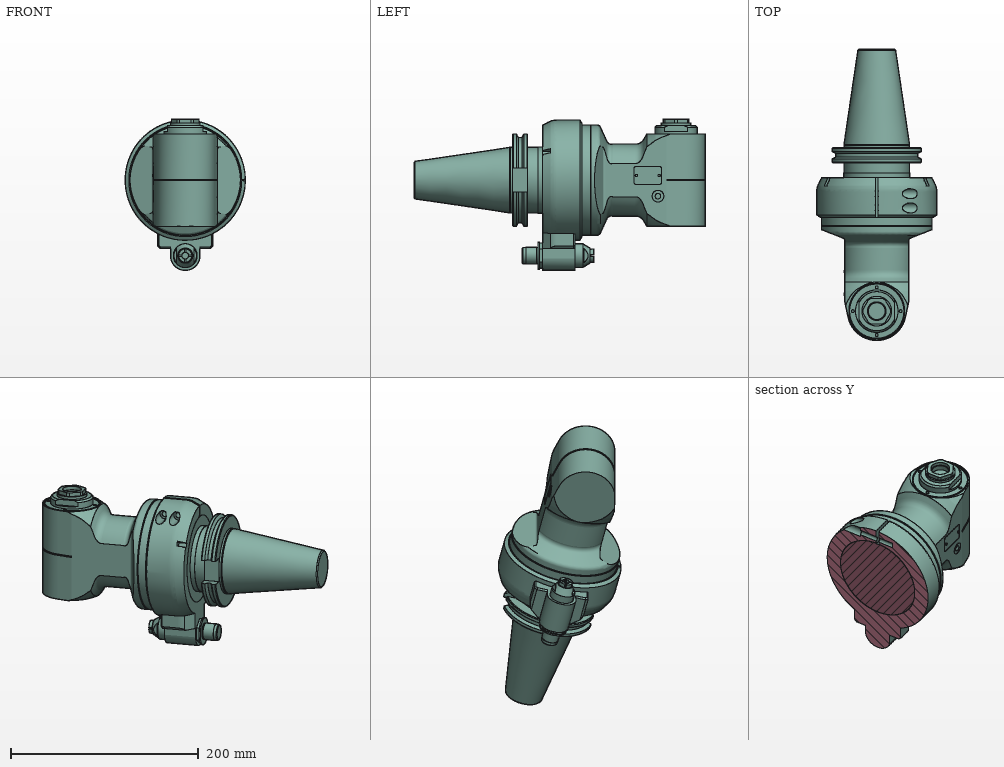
import cadquery as cq
import math


overcut = 3.0

taper_length = 101.7
taper_slope = 7 / 48
taper_large_r = 35.0
taper_end_y = 278.8
taper_end_chamfer = 1.2
relief_r = 34.0
relief_front_y = 176.0
flange_r = 49.3
flange_back_y = 174.0
flange_front_y = 157.8
flange_chamfer = 1.0
gripper_land = 4.0
gripper_floor_r = 45.5
gripper_side = 2.2
neck_r = 35.0
arbor_front_y = 147.0
keyway_width = 25.7
keyway_floor_x = 35.5

ring_back_y = 142.0
ring_front_y = 100.0
ring_r = 128.0 / 2
ring_bore_r = 46.5
ring_back_r = 58.5
ring_cone_r = 63.0
ring_cone_y = 133.3
ring_round_y = 126.8
ring_front_chamfer_y = 102.3
ring_front_r = 60.2
slit_width = 3.0
bolt_z = 52.7
bolt_ys = (125.0, 109.8)
bolt_head_d = 10.5
bolt_seat_x = 21.7
bolt_shank_d = 6.0
bolt_tip_x = -18.5
notch_angles = (30, 150)
notch_width = 5.0
notch_floor_r = 56.5
mark_width = 2.8
mark_depth = 3.7

lug_half_width = 29.5
lug_bottom_z = -73.0
lug_front_y = 107.3
lug_corner = 2.8
lug_edge_chamfer = 1.5
lug_shoulder_x = 27.5
lug_back_half_width = 17.5
boss_half_width = 15.5
boss_r = 15.8
pin_z = -80.3
pin_tail_y = 163.7
pin_tail_r = 8.7
pin_tail_chamfer = 1.0
sleeve_back_y = 159.7
sleeve_front_y = 148.2
sleeve_r = 9.0
collar_back_y = 147.0
collar_r = 14.5
collar_thickness = 1.5
collar_hex_circle_d = 27.3
nose_r = 12.7
nose_cone_y = 99.2
nose_cone_small_r = 8.0
tip_back_y = 91.5
tip_front_y = 87.5
tip_r = 7.0
tip_hole_d = 7.0
tip_hole_depth = 3.0
tip_slot_width = 1.5
tip_slot_depth = 2.8
nose_flat_x = 9.3
nose_flat_back_y = 98.0

collar_hub_r = 35.5
drum_r = 59.0
drum_groove_y = 90.2
drum_groove_width = 1.0
drum_groove_depth = 0.5
drum_round_y = 84.7
cone_back_y = 80.5
cone_back_r = 56.7
cone_front_y = 73.5
cone_front_r = 41.2
body_neck_r = 38.5
neck_back_y = 67.5
neck_front_y = 42.8
shoulder_y = 31.0
head_half_height = 49.3
flare_y = 34.7
flare_r = 43.0
head_facets = [(51.8, 26.5), (54.5, 21.5), (56.7, 15.8), (58.3, 10.5), (59.5, 5.3)]
head_blend_r = 60.5
head_half_width = 34.0
head_r = 31.3
side_taper_deg = 12.0
relief_outer_x = 59.2
relief_outer_y = 86.8
relief_inner_y = 77.0
relief_fillet = 2.8
split_groove_width = 1.2
split_groove_depth = 0.5
cap_groove_outer_r = 29.8
cap_groove_inner_r = 28.8
cap_groove_depth = 0.5
cap_hole_d = 3.0
cap_hole_circle_r = 25.5
cap_hole_depth = 3.0
cap_hole_count = 4

plate_y = 30.0
plate_z = 5.0
plate_length = 29.0
plate_height = 19.0
plate_corner = 2.0
plate_depth = 0.3
rivet_d = 2.5
rivet_spacing = 24.2
rivet_rise = 1.0
plug_y = 19.2
plug_z = -17.0
plug_d = 12.5
plug_depth = 0.3
plug_socket_d = 6.0
plug_socket_depth = 3.0

spindle_collar_r = 22.5
spindle_collar_top_z = 58.0
spindle_collar_chamfer = 2.0
wrench_flat_x = 19.0
wrench_flat_bottom_z = 51.8
washer_r = 15.8
washer_top_z = 60.8
nut_across_flats = 27.3
nut_corner_r = 15.0
spindle_top_z = 64.8
mouth_d = 20.0
mouth_depth = 3.7
bore_d = 18.0
bore_depth = 9.3


def turned(profile):
    """Revolve a closed (radius, y) profile about the Y axis."""
    return profile.close().revolve(360, (0, 0, 0), (0, 1, 0))


def box_between(x0, x1, y0, y1, z0, z1):
    """Axis-aligned box from its two limits on each axis."""
    return cq.Workplane("XY").box(x1 - x0, y1 - y0, z1 - z0, centered=False).translate((x0, y0, z0))


def rod_y(radius, y0, y1, z=0.0):
    """Cylinder along Y from y0 to y1 at height z."""
    return cq.Workplane("XZ", origin=(0, y1, z)).circle(radius).extrude(y1 - y0)


def make_arbor():
    taper_base_y = taper_end_y - taper_length
    small_r = taper_large_r - taper_length * taper_slope
    groove_back_y = flange_back_y - gripper_land
    groove_front_y = flange_front_y + gripper_land
    arbor = turned(
        cq.Workplane("XY").polyline([
            (0, arbor_front_y),
            (neck_r, arbor_front_y),
            (neck_r, flange_front_y),
            (flange_r - flange_chamfer, flange_front_y),
            (flange_r, flange_front_y + flange_chamfer),
            (flange_r, groove_front_y),
            (gripper_floor_r, groove_front_y + gripper_side),
            (gripper_floor_r, groove_back_y - gripper_side),
            (flange_r, groove_back_y),
            (flange_r, flange_back_y - flange_chamfer),
            (flange_r - flange_chamfer, flange_back_y),
            (taper_large_r, flange_back_y),
            (taper_large_r, relief_front_y),
            (relief_r, relief_front_y),
            (relief_r, taper_base_y),
            (taper_large_r, taper_base_y),
            (small_r, taper_end_y - taper_end_chamfer),
            (small_r - taper_end_chamfer, taper_end_y),
            (0, taper_end_y),
        ])
    )
    half_key = keyway_width / 2
    keyway = box_between(keyway_floor_x, flange_r + overcut, flange_front_y, flange_back_y, -half_key, half_key)
    return arbor.cut(keyway).cut(keyway.mirror("YZ"))


def make_ring_band():
    """Split clamping band before the lug is added."""
    band = turned(
        cq.Workplane("XY")
        .moveTo(0, ring_front_y)
        .lineTo(ring_front_r, ring_front_y)
        .lineTo(ring_r, ring_front_chamfer_y)
        .lineTo(ring_r, ring_round_y)
        .tangentArcPoint((ring_cone_r, ring_cone_y), relative=False)
        .lineTo(ring_back_r, ring_back_y)
        .lineTo(0, ring_back_y)
    )
    half_notch = notch_width / 2
    notch = box_between(notch_floor_r, ring_r + overcut, ring_cone_y, ring_back_y, -half_notch, half_notch)
    for angle in notch_angles:
        band = band.cut(notch.rotate((0, 0, 0), (0, 1, 0), -angle))

    mark = (
        cq.Workplane("XZ", origin=(0, ring_front_chamfer_y, 0))
        .polyline([(ring_r, mark_width / 2), (ring_r - mark_depth, 0), (ring_r, -mark_width / 2)])
        .close()
        .extrude(ring_front_chamfer_y - ring_front_y)
    )
    return band.cut(mark)


def lug_plan():
    """Outline of the lug seen along Z, with rounded and slanted rear corners."""
    half = (
        cq.Workplane("XY", origin=(0, 0, lug_bottom_z))
        .moveTo(0, lug_front_y)
        .lineTo(lug_half_width, lug_front_y)
        .lineTo(lug_half_width, ring_round_y)
        .tangentArcPoint((lug_shoulder_x, ring_cone_y), relative=False)
        .lineTo(lug_back_half_width, ring_back_y)
        .lineTo(0, ring_back_y)
        .close()
        .extrude(-lug_bottom_z)
    )
    return half.union(half.mirror("YZ"))


def make_lug():
    lug = (
        box_between(-lug_half_width, lug_half_width, lug_front_y, ring_back_y, lug_bottom_z, 0)
        .edges("|Y and <Z")
        .chamfer(lug_corner)
        .faces("<Y")
        .edges("not >Z")
        .chamfer(lug_edge_chamfer)
        .intersect(lug_plan())
    )
    cheeks = box_between(
        -boss_half_width, boss_half_width, lug_front_y, ring_back_y, pin_z - boss_r, 0
    )
    barrel = rod_y(boss_r, lug_front_y, ring_back_y, pin_z)
    web = box_between(-boss_r, boss_r, lug_front_y, ring_back_y, pin_z, 0)
    return lug.union(barrel.union(web).intersect(cheeks))


def make_locating_pin():
    tail = rod_y(pin_tail_r, collar_back_y, pin_tail_y, pin_z).faces(">Y").chamfer(pin_tail_chamfer)
    sleeve = rod_y(sleeve_r, sleeve_front_y, sleeve_back_y, pin_z)
    collar = rod_y(collar_r, collar_back_y - collar_thickness, collar_back_y, pin_z)
    collar_hex = (
        cq.Workplane("XZ", origin=(0, collar_back_y, pin_z))
        .polygon(6, collar_hex_circle_d)
        .extrude(collar_back_y - ring_back_y)
        .rotate((0, 0, pin_z), (0, 1, pin_z), 90)
    )
    nose = turned(
        cq.Workplane("XY").polyline([
            (0, lug_front_y),
            (nose_r, lug_front_y),
            (nose_r, nose_cone_y),
            (nose_cone_small_r, tip_back_y),
            (tip_r, tip_back_y),
            (tip_r, tip_front_y),
            (0, tip_front_y),
        ])
    )
    flat = box_between(nose_flat_x, nose_r + overcut, tip_back_y, nose_flat_back_y, -nose_r, nose_r)
    nose = nose.cut(flat).cut(flat.mirror("YZ"))
    nose = nose.cut(rod_y(tip_hole_d / 2, tip_front_y, tip_front_y + tip_hole_depth))
    half_slot = tip_slot_width / 2
    slot_back_y = tip_front_y + tip_slot_depth
    slot = box_between(-tip_r, tip_r, tip_front_y, slot_back_y, -half_slot, half_slot)
    for angle in (0, 90):
        nose = nose.cut(slot.rotate((0, 0, 0), (0, 1, 0), angle))
    return tail.union(sleeve).union(collar).union(collar_hex).union(nose.translate((0, 0, pin_z)))


def make_clamp_ring():
    ring = make_ring_band().union(make_lug()).union(make_locating_pin())
    ring = ring.cut(rod_y(ring_bore_r, ring_front_y, ring_back_y))
    half_slit = slit_width / 2
    ring = ring.cut(box_between(-half_slit, half_slit, ring_front_y, ring_back_y, 0, ring_r + overcut))
    for y in bolt_ys:
        bolt_plane = cq.Workplane("YZ", origin=(bolt_tip_x, y, bolt_z))
        shank_hole = bolt_plane.circle(bolt_shank_d / 2).extrude(ring_r - bolt_tip_x)
        head_plane = cq.Workplane("YZ", origin=(bolt_seat_x, y, bolt_z))
        head_hole = head_plane.circle(bolt_head_d / 2).extrude(ring_r - bolt_seat_x)
        ring = ring.cut(shank_hole).cut(head_hole)
    return ring


def make_housing_blank():
    """Turned body: hub, drum, cone, neck and the flare into the head."""
    groove_floor_r = drum_r - drum_groove_depth
    return turned(
        cq.Workplane("XY")
        .moveTo(0, arbor_front_y)
        .lineTo(collar_hub_r, arbor_front_y)
        .lineTo(collar_hub_r, ring_back_y)
        .lineTo(ring_bore_r, ring_back_y)
        .lineTo(ring_bore_r, ring_front_y)
        .lineTo(drum_r, ring_front_y)
        .lineTo(drum_r, drum_groove_y + drum_groove_width)
        .lineTo(groove_floor_r, drum_groove_y + drum_groove_width)
        .lineTo(groove_floor_r, drum_groove_y)
        .lineTo(drum_r, drum_groove_y)
        .lineTo(drum_r, drum_round_y)
        .tangentArcPoint((cone_back_r, cone_back_y), relative=False)
        .lineTo(cone_front_r, cone_front_y)
        .tangentArcPoint((body_neck_r, neck_back_y), relative=False)
        .lineTo(body_neck_r, neck_front_y)
        .tangentArcPoint((flare_r, flare_y), relative=False)
        .polyline([(head_half_height, shoulder_y), *head_facets, (head_blend_r, 0)], includeCurrent=True)
        .lineTo(head_blend_r, -head_r)
        .lineTo(0, -head_r)
    )


def plan_outline():
    """Outline seen along Z, from the drum down both flats to the rounded head."""
    taper = math.radians(side_taper_deg)
    round_x = head_r * math.cos(taper)
    round_y = -head_r * math.sin(taper)
    taper_start_y = round_y + (head_half_width - round_x) / math.tan(taper)
    outline = (
        cq.Workplane("XY")
        .moveTo(-relief_outer_x, arbor_front_y)
        .lineTo(-relief_outer_x, relief_outer_y)
        .lineTo(-head_half_width, relief_inner_y)
        .lineTo(-head_half_width, taper_start_y)
        .lineTo(-round_x, round_y)
        .threePointArc((0, -head_r), (round_x, round_y))
        .lineTo(head_half_width, taper_start_y)
        .lineTo(head_half_width, relief_inner_y)
        .lineTo(relief_outer_x, relief_outer_y)
        .lineTo(relief_outer_x, arbor_front_y)
        .close()
        .extrude(drum_r, both=True)
    )
    inner_corners = cq.selectors.BoxSelector(
        (-relief_outer_x, neck_back_y, -drum_r), (relief_outer_x, cone_back_y, drum_r)
    )
    outline = outline.edges("|Z").edges(inner_corners).fillet(relief_fillet)
    return outline, taper_start_y


def groove_core(taper_start_y):
    """Material left standing inside the split groove."""
    core_r = head_r - split_groove_depth
    half = head_half_width - split_groove_depth
    taper = math.radians(side_taper_deg)
    x = core_r * math.cos(taper)
    y = -core_r * math.sin(taper)
    return (
        cq.Workplane("XY")
        .moveTo(-half, taper_start_y)
        .lineTo(-x, y)
        .threePointArc((0, -core_r), (x, y))
        .lineTo(half, taper_start_y)
        .close()
        .extrude(split_groove_width, both=True)
    )


def add_side_details(housing):
    """Name plate seat with rivets, and the plug, on the -X flat."""
    def on_flat(y, z):
        return cq.Workplane("YZ", origin=(-head_half_width, y, z))

    seat = (
        on_flat(plate_y, plate_z).rect(plate_length, plate_height).extrude(plate_depth)
        .edges("|X").fillet(plate_corner)
    )
    rivets = (
        on_flat(plate_y, plate_z).workplane(offset=plate_depth)
        .pushPoints([(-rivet_spacing / 2, 0), (rivet_spacing / 2, 0)])
        .circle(rivet_d / 2).extrude(-plate_depth - rivet_rise)
    )
    plug = on_flat(plug_y, plug_z).circle(plug_d / 2).extrude(plug_depth)
    socket = on_flat(plug_y, plug_z).circle(plug_socket_d / 2).extrude(plug_socket_depth)
    return housing.cut(seat).union(rivets).cut(plug).cut(socket)


def make_housing():
    outline, taper_start_y = plan_outline()
    housing = make_housing_blank().intersect(outline)
    for side in (1, -1):
        z0, z1 = sorted((side * head_half_height, side * (drum_r + overcut)))
        housing = housing.cut(box_between(-drum_r, drum_r, -head_r, shoulder_y, z0, z1))

    half_groove = split_groove_width / 2
    groove_block = box_between(
        -head_half_width, head_half_width, -head_r, taper_start_y, -half_groove, half_groove
    )
    housing = housing.cut(groove_block.cut(groove_core(taper_start_y)))

    top = cq.Workplane("XY", origin=(0, 0, head_half_height))
    housing = housing.cut(top.circle(cap_groove_outer_r).circle(cap_groove_inner_r).extrude(-cap_groove_depth))
    spanner_holes = (
        top.polarArray(cap_hole_circle_r, 0, 360, cap_hole_count).circle(cap_hole_d / 2).extrude(-cap_hole_depth)
    )
    return add_side_details(housing.cut(spanner_holes))


def make_spindle():
    collar = (
        cq.Workplane("XY", origin=(0, 0, head_half_height))
        .circle(spindle_collar_r).extrude(spindle_collar_top_z - head_half_height)
        .faces(">Z").chamfer(spindle_collar_chamfer)
    )
    flat = box_between(
        wrench_flat_x, spindle_collar_r + overcut, -spindle_collar_r, spindle_collar_r,
        wrench_flat_bottom_z, spindle_collar_top_z,
    )
    collar = collar.cut(flat).cut(flat.mirror("YZ"))
    washer = (
        cq.Workplane("XY", origin=(0, 0, spindle_collar_top_z))
        .circle(washer_r).extrude(washer_top_z - spindle_collar_top_z)
    )
    nut_plane = cq.Workplane("XY", origin=(0, 0, washer_top_z))
    nut_height = spindle_top_z - washer_top_z
    nut = nut_plane.polygon(6, nut_across_flats / math.cos(math.pi / 6)).extrude(nut_height)
    nut = nut.intersect(nut_plane.circle(nut_corner_r).extrude(nut_height))
    top = cq.Workplane("XY", origin=(0, 0, spindle_top_z))
    mouth = top.circle(mouth_d / 2).extrude(-mouth_depth)
    bore = top.circle(bore_d / 2).extrude(-bore_depth)
    return collar.union(washer).union(nut).cut(mouth).cut(bore)


arbor = make_arbor()
clamp_ring = make_clamp_ring()
housing = make_housing()
spindle = make_spindle()

result = cq.Compound.makeCompound([body.solids().val() for body in (arbor, clamp_ring, housing, spindle)])